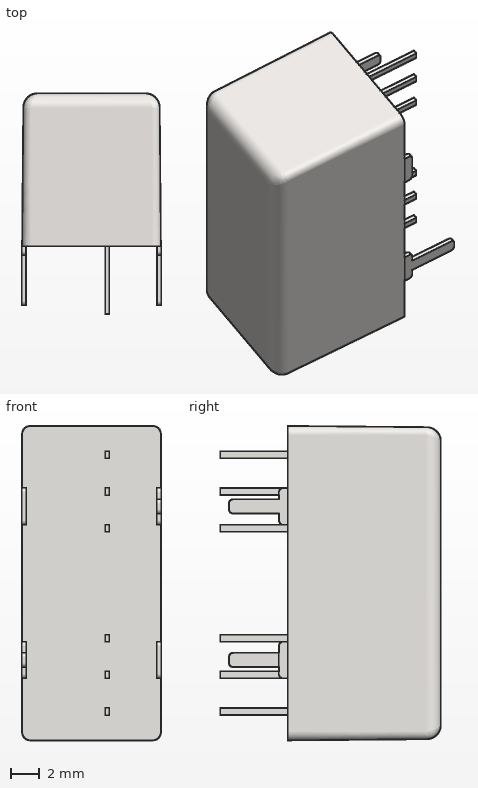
import cadquery as cq

width = 9.64
height = 21.8
depth = 10.62
draft_angle = 0.5
corner_radius = 0.59
back_radius = 1.0

pin_length = 4.69
pin_thickness = 0.3
pin_height = 0.5
pin_row_x = 1.1
pin_pitch = 2.54
inner_pin_z = 1.5 * pin_pitch
pins_per_group = 3

tab_thickness = 0.3
tab_height = 2.55
tab_length = 0.6
tab_z = 5.32
blade_height = 1.0
blade_length = 4.08
tab_overhang = 0.02
tip_radius = 0.3


def make_housing():
    """Drafted box with rounded corners and a rounded back."""
    outline = cq.Sketch().rect(width, height).vertices().fillet(corner_radius)
    box = cq.Workplane("XZ").placeSketch(outline).extrude(-depth, taper=draft_angle)
    return box.faces(">Y").edges().fillet(back_radius)


def make_prong(x, z, thickness, prong_height, length):
    """Rectangular prong standing out of the pin face towards -Y."""
    return (
        cq.Workplane("XY")
        .box(thickness, length, prong_height)
        .translate((x, -length / 2, z))
    )


def make_rounded_prong(x, z, prong_height, length):
    """Tab-thick prong with its two free corners rounded."""
    prong = make_prong(x, z, tab_thickness, prong_height, length)
    return prong.faces("<Y").edges("|X").fillet(tip_radius)


result = make_housing()

for side in (-1, 1):
    for index in range(pins_per_group):
        pin_z = side * (inner_pin_z + index * pin_pitch)
        result = result.union(make_prong(pin_row_x, pin_z, pin_thickness, pin_height, pin_length))

tab_x = (width - tab_thickness) / 2 + tab_overhang
for x_side in (-1, 1):
    for z_side in (-1, 1):
        x = x_side * tab_x
        z = z_side * tab_z
        result = result.union(make_rounded_prong(x, z, tab_height, tab_length))
        if x_side == z_side:
            result = result.union(make_rounded_prong(x, z, blade_height, blade_length))